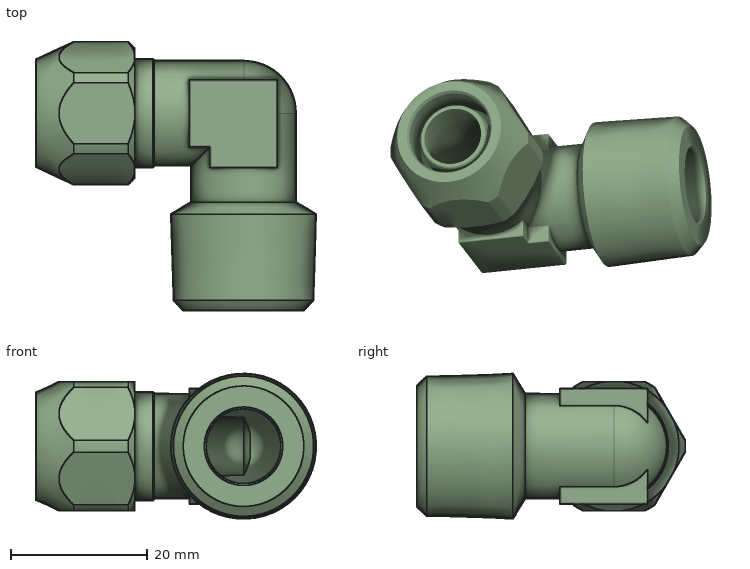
import cadquery as cq
import math


overall_length = 41.2
thread_diameter = 21.38
thread_radius = thread_diameter / 2

tube_radius = 7.75
collar_radius = 8.0
collar_end = 13.15
collar_chamfer = 0.15

block_height = 17.0
block_outer = 4.95
block_inner = 8.0
block_edge_fillet = 0.15

nut_length = 14.5
nut_face = overall_length - thread_radius
nut_back = nut_face - nut_length
nut_sides = 6
nut_flats = 19.0
nut_corner_radius = 10.5
nut_face_radius = 7.9
nut_nose_angle = 25.0
nut_back_chamfer = 0.95

bore_radius = 4.32
socket_radius = 6.18
socket_depth = 7.0
mouth_chamfer = 0.3
mouth_chamfer_length = 0.5
insert_depth = 1.98
insert_tip_radius = 4.78
insert_tip_chamfer = 0.15
insert_radius = 5.27
insert_taper_length = 1.65

thread_end = 29.0
thread_start = 14.83
thread_taper = 1 / 32
thread_chamfer_length = 1.52
thread_face_radius = 8.85
neck_end = 13.05
thread_bore_radius = 5.48
thread_bore_chamfer = 0.3

drill_half_angle = 59.0


def revolve_arm(profile):
    """Turn a closed outline of (distance from centre, radius) points about the -X axis."""
    points = [(-distance, radius) for distance, radius in profile]
    return cq.Workplane("XY").polyline(points).close().revolve(360, (0, 0, 0), (1, 0, 0))


def turn_to_thread_arm(solid):
    return solid.rotate((0, 0, 0), (0, 0, 1), 90)


def drill_tip(radius):
    return radius / math.tan(math.radians(drill_half_angle))


def make_elbow():
    nut_arm = revolve_arm([
        (0, 0),
        (0, tube_radius),
        (collar_end, tube_radius),
        (collar_end, collar_radius - collar_chamfer),
        (collar_end + collar_chamfer, collar_radius),
        (nut_back, collar_radius),
        (nut_back, 0),
    ])
    chamfer_start = thread_end - thread_chamfer_length
    thread_small_radius = thread_radius - thread_taper * (chamfer_start - thread_start)
    thread_arm = revolve_arm([
        (0, 0),
        (0, tube_radius),
        (neck_end, tube_radius),
        (thread_start, thread_radius),
        (chamfer_start, thread_small_radius),
        (thread_end, thread_face_radius),
        (thread_end, 0),
    ])
    corner = cq.Workplane("XY").sphere(tube_radius)
    return nut_arm.union(turn_to_thread_arm(thread_arm)).union(corner)


def make_wrench_block():
    outline = [
        (block_outer, block_outer),
        (-block_inner, block_outer),
        (-block_inner, -block_outer),
        (-block_outer, -block_outer),
        (-block_outer, -block_inner),
        (block_outer, -block_inner),
    ]
    block = cq.Workplane("XY").polyline(outline).close().extrude(block_height / 2, both=True)
    return block.edges().fillet(block_edge_fillet)


def make_nut():
    nose_length = (nut_corner_radius - nut_face_radius) / math.tan(math.radians(nut_nose_angle))
    turned = revolve_arm([
        (nut_back, 0),
        (nut_back, nut_corner_radius - nut_back_chamfer),
        (nut_back + nut_back_chamfer, nut_corner_radius),
        (nut_face - nose_length, nut_corner_radius),
        (nut_face, nut_face_radius),
        (nut_face, 0),
    ])
    across_corners = nut_flats / math.cos(math.pi / nut_sides)
    hexagon = (
        cq.Workplane("YZ", origin=(-nut_face, 0, 0))
        .polygon(nut_sides, across_corners)
        .extrude(nut_length)
    )
    return turned.intersect(hexagon)


def make_nut_bore():
    socket_floor = nut_face - socket_depth
    insert_tip = nut_face - insert_depth
    return revolve_arm([
        (-drill_tip(bore_radius), 0),
        (0, bore_radius),
        (insert_tip, bore_radius),
        (insert_tip, insert_tip_radius),
        (insert_tip - insert_tip_chamfer, insert_tip_radius + insert_tip_chamfer),
        (insert_tip - insert_taper_length, insert_radius),
        (socket_floor, insert_radius),
        (socket_floor, socket_radius),
        (nut_face - mouth_chamfer_length, socket_radius),
        (nut_face, socket_radius + mouth_chamfer),
        (nut_face, 0),
    ])


def make_thread_bore():
    return turn_to_thread_arm(revolve_arm([
        (-drill_tip(thread_bore_radius), 0),
        (0, thread_bore_radius),
        (thread_end - thread_bore_chamfer, thread_bore_radius),
        (thread_end, thread_bore_radius + thread_bore_chamfer),
        (thread_end, 0),
    ]))


result = (
    make_elbow()
    .union(make_wrench_block())
    .union(make_nut())
    .cut(make_nut_bore())
    .cut(make_thread_bore())
)